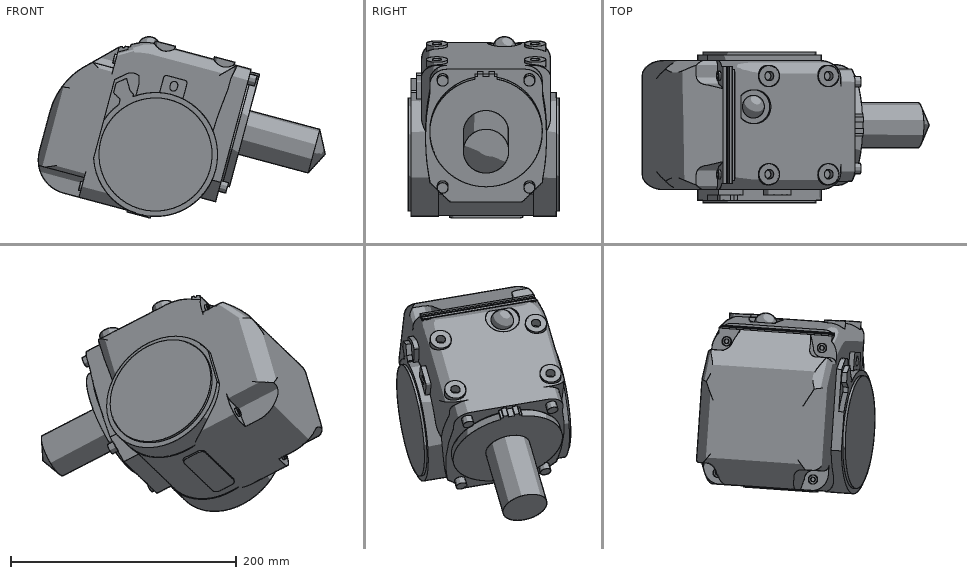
import cadquery as cq
import math

TILT = 15
HALF_WIDTH = 57.3
TOP = 95.0
BOTTOM = -54.3
EDGE_ROUND = 15.0

JOINT_X = -55.8
BODY_END = 49.2
BROW_START = -23.7
BROW_RADIUS = 43.0
BROW_ANGLE = 30
SEAM_Z = 83.8

CAP_BACK = -100.5
CAP_SIDE_ROUND = 20.5
CAP_FLAT_TOP = 12.2
CAP_FLAT_BOTTOM = -23.7
CAP_SHOULDER = (-77.5, 62.5)
CAP_MITRE_Z = 37.7
CAP_MITRE_ANGLE = 58
CAP_UPPER_ROUND = 14.3
POCKET_ROUND = 8.2
POCKET_LIP = 5.4
CAP_SCREW_Y = 43.8
CAP_SCREW_ZS = (-44.3, 72.6)

COVER_RADIUS = 55.0
LID_RADIUS = 50.2
COVER_FLAT_X = -52.2
COVER_NEAR = 66.8
LID_NEAR = 69.0
COVER_FAR = 62.5
LID_FAR = 65.0
LUG_Y = 62.0

SHAFT_Z = 39.2
SHAFT_RADIUS = 20.1
SHAFT_END = 135.0
SHAFT_TIP = 145.5
FLANGE_FACE = 62.5
FLANGE_TOP_HALF = 50.0
FLANGE_MID_HALF = 53.8
FLANGE_BOTTOM = -26.8
SPIGOT_RADIUS = 48.0
SPIGOT_END = 64.2
PLATE_RADIUS = 50.0
PLATE_END = 70.8
FLANGE_SCREW_RADIUS = 4.8
FLANGE_SCREW_END = 69.0
FLANGE_SCREW_Y = 38.5
FLANGE_SCREW_ZS = (-12.2, 86.1)

BOSS_XS = (-17.0, 37.5)
BOSS_Y = 43.5
BOSS_RADIUS = 9.5
BOSS_TOP = 97.4
BOSS_BASE = 84.0
SOCKET_RADIUS = 4.0
SOCKET_DEPTH = 10.2
DOME_X = -30.0
DOME_Y = 16.3
DOME_RADIUS = 10.2
DOME_CENTRE_Z = 89.7
SPOT_RADIUS = 15.0
SPOT_FLOOR = 91.2

BIG = 153.0


def box(x0, x1, y0, y1, z0, z1):
    return cq.Workplane("XY").box(x1 - x0, y1 - y0, z1 - z0, centered=False).translate((x0, y0, z0))


def rod_x(radius, x0, x1, y, z):
    return cq.Workplane("YZ", origin=(x0, 0, 0)).center(y, z).circle(radius).extrude(x1 - x0)


def rod_z(radius, z0, z1, x, y):
    return cq.Workplane("XY", origin=(0, 0, z0)).center(x, y).circle(radius).extrude(z1 - z0)


def across(outline, y0, y1):
    """Extrude a closed XZ outline from y0 to y1."""
    return outline.extrude(y0 - y1).translate((0, y0, 0))


def body():
    slope = math.radians(BROW_ANGLE)
    brow_end = (BROW_START - BROW_RADIUS * math.sin(slope), TOP - BROW_RADIUS * (1 - math.cos(slope)))
    below_seam = (JOINT_X, brow_end[1] - (brow_end[0] - JOINT_X) * math.tan(slope))
    corner_z = -math.sqrt(BOTTOM ** 2 - BODY_END ** 2)
    outline = (
        cq.Workplane("XZ")
        .moveTo(JOINT_X, BOTTOM)
        .lineTo(0, BOTTOM)
        .radiusArc((BODY_END, corner_z), BOTTOM)
        .lineTo(BODY_END, TOP)
        .lineTo(BROW_START, TOP)
        .radiusArc(brow_end, -BROW_RADIUS)
        .lineTo(*below_seam)
        .close()
    )
    block = across(outline, -HALF_WIDTH, HALF_WIDTH)
    past_seam = JOINT_X + 0.3
    rims = block.faces("<Y or >Y").edges(cq.selectors.BoxSelector(
        (past_seam, -BIG, -BIG), (BIG, BIG, BIG)))
    return rims.fillet(EDGE_ROUND)


def seam_ridge(part):
    """Step across the brow carrying a grooved gasket ridge."""
    step = cq.Workplane("XZ").polyline(
        [(-45.4, TOP), (-46.5, 86.6), (JOINT_X, 81.3), (JOINT_X, TOP)]).close()
    ridge = cq.Workplane("XZ").polyline(
        [(JOINT_X, 76.5), (JOINT_X, SEAM_Z), (-53.3, 85.0), (-52.5, 84.0), (-51.5, 84.0),
         (-50.7, 86.0), (-48.2, 86.5), (-47.1, 81.5)]).close()
    ridge_half = 52.0
    return part.cut(across(step, -HALF_WIDTH, HALF_WIDTH)).union(across(ridge, -ridge_half, ridge_half))


def rounded_prism(outward_angle, radius):
    """Long bar with two rounded corners; its side tangent line passes through the cap mitre point."""
    a = math.radians(outward_angle)
    outward = cq.Vector(math.cos(a), 0, math.sin(a))
    along = cq.Vector(math.sin(a), 0, -math.cos(a))
    plane = cq.Plane(origin=(CAP_BACK + CAP_SIDE_ROUND, 0, CAP_MITRE_Z), xDir=outward, normal=along)
    return (
        cq.Workplane(plane)
        .center((radius - BIG) / 2, 0)
        .rect(radius + BIG, 2 * HALF_WIDTH)
        .extrude(BIG, both=True)
        .edges(cq.selectors.ParallelDirSelector(along))
        .fillet(radius)
    )


def screw_pocket(screw_z, sense):
    """Corner recess around one cap screw, opening towards +Y and towards sense * Z."""
    flat_z = screw_z - sense * POCKET_ROUND
    inner_y = CAP_SCREW_Y - POCKET_ROUND
    flare_width = 3.0
    flare_rise = 10.2
    far_z = sense * BIG
    return (
        cq.Workplane("YZ", origin=(-BIG, 0, 0))
        .moveTo(BIG, flat_z - sense * POCKET_LIP)
        .lineTo(HALF_WIDTH, flat_z - sense * POCKET_LIP)
        .radiusArc((HALF_WIDTH - POCKET_LIP, flat_z), sense * -POCKET_LIP)
        .lineTo(CAP_SCREW_Y, flat_z)
        .radiusArc((inner_y, screw_z), sense * POCKET_ROUND)
        .lineTo(inner_y - flare_width, screw_z + sense * flare_rise)
        .lineTo(inner_y - flare_width, far_z)
        .lineTo(BIG, far_z)
        .close()
        .extrude(BIG + JOINT_X)
    )


def end_cap():
    heel = CAP_FLAT_BOTTOM - BOTTOM
    outline = (
        cq.Workplane("XZ")
        .moveTo(JOINT_X, BOTTOM)
        .lineTo(CAP_BACK + heel, BOTTOM)
        .radiusArc((CAP_BACK, CAP_FLAT_BOTTOM), heel)
        .lineTo(CAP_BACK, CAP_FLAT_TOP)
        .tangentArcPoint(CAP_SHOULDER, relative=False)
        .lineTo(JOINT_X, SEAM_Z)
        .close()
    )
    cap = across(outline, -HALF_WIDTH, HALF_WIDTH)
    cap = cap.intersect(rounded_prism(180, CAP_SIDE_ROUND))
    cap = cap.intersect(rounded_prism(90 + CAP_MITRE_ANGLE, CAP_UPPER_ROUND))
    for screw_z, sense in zip(CAP_SCREW_ZS, (-1, 1)):
        pocket = screw_pocket(screw_z, sense)
        cap = cap.cut(pocket).cut(pocket.mirror("XZ"))
    return cap


def cap_screws(part):
    """Low hexagon-socket heads standing on the pocket floors."""
    head_radius = 4.0
    head_height = 2.0
    hex_size = 4.5
    for z in CAP_SCREW_ZS:
        for y in (-CAP_SCREW_Y, CAP_SCREW_Y):
            head = rod_x(head_radius, JOINT_X - head_height, JOINT_X + 2.5, y, z)
            socket = (cq.Workplane("YZ", origin=(JOINT_X - head_height, 0, 0))
                      .center(y, z).polygon(6, hex_size).extrude(head_height))
            part = part.union(head).cut(socket)
    return part


def flat_sided_disc(y0, y1):
    disc = across(cq.Workplane("XZ").circle(COVER_RADIUS), y0, y1)
    return disc.intersect(box(COVER_FLAT_X, BIG, -BIG, BIG, -BIG, BIG))


def side_covers():
    inner_y = HALF_WIDTH - EDGE_ROUND
    covers = flat_sided_disc(-COVER_NEAR, -inner_y).union(flat_sided_disc(inner_y, COVER_FAR))
    return covers.union(across(cq.Workplane("XZ").circle(LID_RADIUS), -LID_NEAR, LID_FAR))


def cover_lugs():
    """Two lugs above the near cover: a drilled tab and a stepped hook."""
    tab_half = 10.7
    tab_top = 70.3
    tab_round = 2.5
    hole_z = 62.7
    hole_length = 8.7
    hole_width = 6.5
    tab = box(-tab_half, tab_half, -LUG_Y, 0, 0, tab_top)
    tab = tab.edges("|Y and >Z").fillet(tab_round)
    hole = cq.Workplane("XZ").center(0, hole_z).slot2D(hole_length, hole_width, 90)
    tab = tab.cut(across(hole, -LUG_Y, -HALF_WIDTH))
    low = (
        cq.Workplane("XZ")
        .moveTo(COVER_FLAT_X, 0)
        .lineTo(COVER_FLAT_X, 54.8)
        .lineTo(-42.8, 63.0)
        .threePointArc((-37.7, 64.7), (-32.4, 63.7))
        .lineTo(-30.3, 56.0)
        .lineTo(-30.3, 0)
        .close()
    )
    high = cq.Workplane("XZ").polyline(
        [(-50.2, 43.3), (-50.2, 52.2), (-42.3, 58.5), (-36.7, 49.2), (-32.5, 46.5),
         (-32.5, 30.5), (-44.9, 30.5), (-42.8, 34.7), (-43.0, 39.2)]).close()
    hook = across(low, -LUG_Y, 0).union(across(high, -COVER_NEAR, 0))
    return tab.union(hook)


def output_flange():
    half_top = FLANGE_TOP_HALF
    flat_top = 72.0
    flat_bottom = -9.0
    chamfer_width = flat_bottom - FLANGE_BOTTOM
    half = (
        cq.Workplane("YZ")
        .moveTo(0, TOP)
        .lineTo(half_top - EDGE_ROUND, TOP)
        .radiusArc((half_top, TOP - EDGE_ROUND), EDGE_ROUND)
        .lineTo(half_top, flat_top)
        .threePointArc((FLANGE_MID_HALF, (flat_top + flat_bottom) / 2), (half_top, flat_bottom))
        .lineTo(half_top - chamfer_width, FLANGE_BOTTOM)
        .lineTo(0, FLANGE_BOTTOM)
        .close()
        .extrude(FLANGE_FACE)
    )
    flange = half.union(half.mirror("XZ"))
    return flange.intersect(box(BODY_END - EDGE_ROUND, BIG, -BIG, BIG, -BIG, BIG))


def output_plate():
    plate = rod_x(SPIGOT_RADIUS, FLANGE_FACE, SPIGOT_END, 0, SHAFT_Z)
    plate = plate.union(rod_x(PLATE_RADIUS, SPIGOT_END, PLATE_END, 0, SHAFT_Z))
    pad_half = 9.7
    pad_top = 90.5
    rib_inner = 2.8
    rib_outer = 7.5
    rib_top = 92.8
    plate = plate.union(box(FLANGE_FACE, PLATE_END, -pad_half, pad_half, SHAFT_Z, pad_top))
    for y0, y1 in ((-rib_outer, -rib_inner), (rib_inner, rib_outer)):
        plate = plate.union(box(FLANGE_FACE, PLATE_END, y0, y1, SHAFT_Z, rib_top))
    for z in FLANGE_SCREW_ZS:
        for y in (-FLANGE_SCREW_Y, FLANGE_SCREW_Y):
            plate = plate.union(rod_x(FLANGE_SCREW_RADIUS, FLANGE_FACE - 2.5, FLANGE_SCREW_END, y, z))
    return plate


def shaft():
    outline = [(0, 0), (0, SHAFT_RADIUS), (SHAFT_END, SHAFT_RADIUS), (SHAFT_TIP, 0)]
    spun = cq.Workplane("XY").polyline(outline).close().revolve(360, (0, 0, 0), (1, 0, 0))
    return spun.translate((0, 0, SHAFT_Z))


def top_bosses(part):
    for x in BOSS_XS:
        for y in (-BOSS_Y, BOSS_Y):
            part = part.union(rod_z(BOSS_RADIUS, BOSS_BASE, BOSS_TOP, x, y))
            part = part.cut(rod_z(SOCKET_RADIUS, BOSS_TOP - SOCKET_DEPTH, BOSS_TOP, x, y))
    return part


def sight_dome(part):
    part = part.cut(rod_z(SPOT_RADIUS, SPOT_FLOOR, TOP + 2.5, DOME_X, DOME_Y))
    dome = cq.Workplane("XY").sphere(DOME_RADIUS).translate((DOME_X, DOME_Y, DOME_CENTRE_Z))
    return part.union(dome)


def foot():
    foot_half_length = 32.5
    foot_depth = 1.5
    foot_back = -11.5
    foot_front = 10.2
    corner_round = 5.0
    pad = box(foot_back, foot_front, -foot_half_length, foot_half_length, BOTTOM - foot_depth, 0)
    return pad.edges("|Z").fillet(corner_round)


housing = seam_ridge(body())
housing = housing.union(end_cap())
housing = cap_screws(housing)
for piece in (output_flange(), side_covers(), cover_lugs(), foot()):
    housing = housing.union(piece)
housing = sight_dome(top_bosses(housing))
housing = housing.union(output_plate()).union(shaft())

result = housing.rotate((0, 0, 0), (0, 1, 0), TILT)